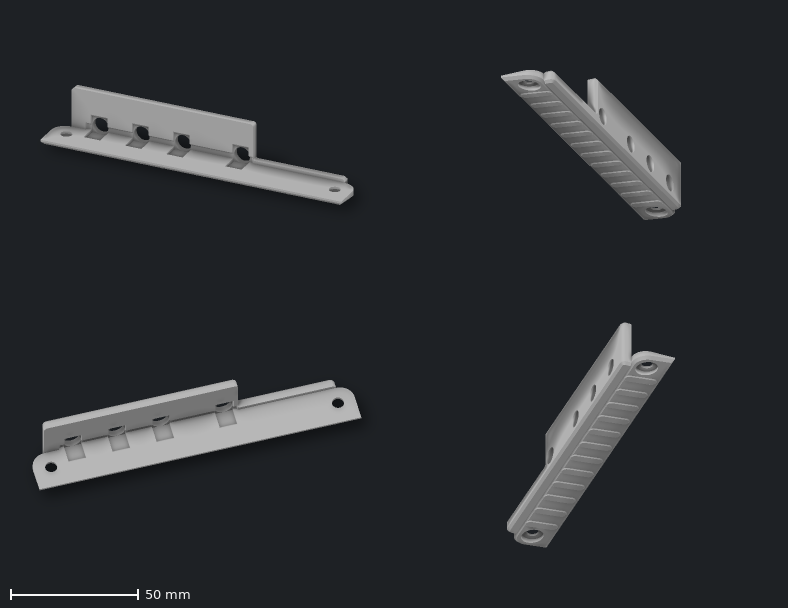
import cadquery as cq

LENGTH = 131.0
DEPTH = 20.0
WALL_THICKNESS = 4.0
WALL_FRONT = DEPTH - WALL_THICKNESS
WALL_HEIGHT = 17.2
WALL_DROP = 3.9

FRONT_THICKNESS = 2.0
CORNER_RADIUS = 6.0
PLATE_CHAMFER = 1.2
SLOPE = (WALL_DROP - FRONT_THICKNESS) / WALL_FRONT

WALL_LEFT = CORNER_RADIUS
WALL_RIGHT = LENGTH - CORNER_RADIUS
TALL_RIGHT = 85.0
LIP_HEIGHT = 1.5
WALL_CHAMFER = 1.0
WALL_END_RADIUS = 2.0
TALL_END_RADIUS = 1.2
STEP_FILLET = 0.8

GROOVE_LEFT = 12.0
GROOVE_HEIGHT = 3.0
GROOVE_DEPTH = 1.0
GROOVE_CHAMFER = 0.9
GROOVE_END_RADIUS = 1.5

WINDOW_CENTERS = (18.0, 35.9, 53.8, 79.5)
WINDOW_WIDTH = 7.2
WINDOW_HEIGHT = 7.0
WINDOW_DEPTH = 1.5
WINDOW_FRONT = 9.4
HOLE_DIAMETER = 7.0
HOLE_CENTER_Z = HOLE_DIAMETER / 2 - WINDOW_DEPTH

SCREW_INSET = 7.1
SCREW_Y = 9.0
SCREW_DIAMETER = 4.8
BORE_DIAMETER = 8.9
SCREW_LAND = 1.0

RIB_COUNT = 12
RIB_SPAN = 101.1
RIB_FRONT = 1.6
RIB_BACK = 15.5
RIB_WIDTH = 3.9
RIB_HEIGHT = 0.4
RIB_TAPER = 45


def make_block(x_min, x_max, y_min, y_max, z_min, z_max):
    size = (x_max - x_min, y_max - y_min, z_max - z_min)
    return cq.Workplane("XY").box(*size, centered=False).translate((x_min, y_min, z_min))


def make_plate():
    """Wedge with rounded back corners and a chamfered underside."""
    profile = [(0, 0), (WALL_FRONT, 0), (WALL_FRONT, -WALL_DROP), (0, -FRONT_THICKNESS)]
    plate = cq.Workplane("YZ").polyline(profile).close().extrude(LENGTH)
    plate = plate.edges("|Z and >Y").fillet(CORNER_RADIUS)
    return plate.faces("<Z").edges("not (|X and >Y)").chamfer(PLATE_CHAMFER)


def make_wall():
    """Stepped wall whose outline is chamfered everywhere but along the front face."""
    lip = make_block(WALL_LEFT, WALL_RIGHT, WALL_FRONT, DEPTH, -WALL_DROP, LIP_HEIGHT)
    tall = make_block(WALL_LEFT, TALL_RIGHT, WALL_FRONT, DEPTH, -WALL_DROP, WALL_HEIGHT)
    wall = lip.union(tall)

    mid_y = DEPTH - WALL_THICKNESS / 2
    tall_end = cq.selectors.NearestToPointSelector((TALL_RIGHT, mid_y, WALL_HEIGHT))
    step = cq.selectors.NearestToPointSelector((TALL_RIGHT, mid_y, LIP_HEIGHT))
    wall = wall.edges("|Y").edges(tall_end).fillet(TALL_END_RADIUS)
    wall = wall.edges("|Y").edges(step).fillet(STEP_FILLET)
    wall = wall.edges("(|Z and >Y) and (<X or >X)").fillet(WALL_END_RADIUS)
    return wall.faces(">Y").edges("not |Z").chamfer(WALL_CHAMFER)


def make_groove():
    """Groove cutter with rounded ends and a sloping edge along its ceiling."""
    block = make_block(GROOVE_LEFT, TALL_RIGHT, 0, WALL_FRONT + GROOVE_DEPTH, 0, GROOVE_HEIGHT)
    rounded = block.edges("|Z and >Y").fillet(GROOVE_END_RADIUS)
    sloped = block.edges(">Y and >Z").chamfer(GROOVE_CHAMFER)
    return rounded.intersect(sloped)


def make_window(x):
    """Corner pocket with sloping ends, and the round hole that leaves it backwards."""
    d = WINDOW_DEPTH
    profile = [
        (WINDOW_FRONT, 0),
        (WINDOW_FRONT + d, -d),
        (WALL_FRONT + d, -d),
        (WALL_FRONT + d, WINDOW_HEIGHT - d),
        (WALL_FRONT, WINDOW_HEIGHT),
        (WINDOW_FRONT, WINDOW_HEIGHT),
    ]
    pocket = (
        cq.Workplane("YZ", origin=(x, 0, 0))
        .polyline(profile)
        .close()
        .extrude(WINDOW_WIDTH / 2, both=True)
    )
    hole = cq.Workplane("XZ", origin=(x, WALL_FRONT, HOLE_CENTER_Z)).circle(HOLE_DIAMETER / 2)
    hole = hole.extrude(-WALL_THICKNESS)
    return pocket.union(hole)


def make_screw_hole(x):
    """Through hole with a wider bore below a thin land."""
    hole = cq.Workplane("XY", origin=(x, SCREW_Y, 0)).circle(SCREW_DIAMETER / 2).extrude(-WALL_DROP)
    bore = cq.Workplane("XY", origin=(x, SCREW_Y, -SCREW_LAND)).circle(BORE_DIAMETER / 2)
    bore = bore.extrude(-WALL_DROP)
    return hole.union(bore)


def make_rib(x):
    """Round-ended rib with sloping flanks, standing square to the sloping underside."""
    y = (RIB_FRONT + RIB_BACK) / 2
    plane = cq.Plane(
        origin=(x, y, -FRONT_THICKNESS - SLOPE * y),
        xDir=(0, 1, -SLOPE),
        normal=(0, -SLOPE, -1),
    )
    outline = cq.Workplane(plane).slot2D(RIB_BACK - RIB_FRONT, RIB_WIDTH)
    return outline.extrude(RIB_HEIGHT, taper=RIB_TAPER)


result = make_plate().union(make_wall()).cut(make_groove())
for window_x in WINDOW_CENTERS:
    result = result.cut(make_window(window_x))
for screw_x in (SCREW_INSET, LENGTH - SCREW_INSET):
    result = result.cut(make_screw_hole(screw_x))
rib_start = (LENGTH - RIB_SPAN) / 2
rib_pitch = RIB_SPAN / (RIB_COUNT - 1)
for index in range(RIB_COUNT):
    result = result.union(make_rib(rib_start + index * rib_pitch))